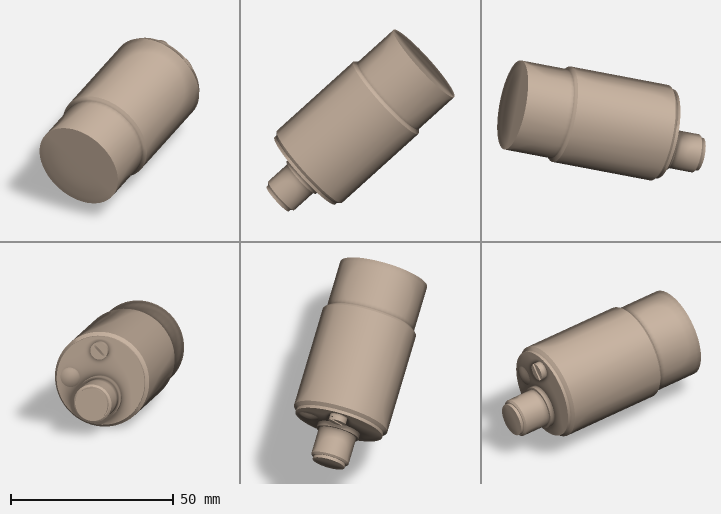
import cadquery as cq

LENGTH = 61.5
BODY_DIAMETER = 30.0
NECK_DIAMETER = 28.0
BODY_CHAMFER = (BODY_DIAMETER - NECK_DIAMETER) / 2
NOSE_LENGTH = 15.0
CAP_THICKNESS = 0.9

CONNECTOR_Z = -5.0
FLANGE_DIAMETER = 13.5
FLANGE_THICKNESS = 1.55
BARREL_DIAMETER = 12.0
BARREL_LENGTH = 9.0
BARREL_CHAMFER = 0.55
TIP_DIAMETER = 10.3
TIP_LENGTH = 1.0

SCREW_Z = 9.85
SCREW_DIAMETER = 5.5
SCREW_HEIGHT = 2.0
SLOT_WIDTH = 1.0
SLOT_DEPTH = 1.0
SLOT_ANGLE = 45.0

DOME_X = 9.65
DOME_Z = 0.5
DOME_RADIUS = 3.1
DOME_HEIGHT = 0.75

FRONT_Y = -LENGTH / 2
TIP_START_Y = LENGTH / 2 - TIP_LENGTH
BARREL_START_Y = TIP_START_Y - BARREL_LENGTH
REAR_FACE_Y = BARREL_START_Y - FLANGE_THICKNESS
BODY_END_Y = REAR_FACE_Y - CAP_THICKNESS
BODY_START_Y = FRONT_Y + NOSE_LENGTH
EMBED = 0.3


def cylinder(diameter, start_y, length, x=0.0, z=0.0):
    """Cylinder along +Y from start_y."""
    base = cq.Workplane("XZ", origin=(x, start_y, z))
    return base.circle(diameter / 2).extrude(-length)


def make_body():
    core = cylinder(NECK_DIAMETER, FRONT_Y, REAR_FACE_Y - FRONT_Y)
    sleeve = cylinder(BODY_DIAMETER, BODY_START_Y, BODY_END_Y - BODY_START_Y)
    return core.union(sleeve.edges().chamfer(BODY_CHAMFER))


def make_connector():
    flange = cylinder(
        FLANGE_DIAMETER, REAR_FACE_Y - EMBED, FLANGE_THICKNESS + EMBED, z=CONNECTOR_Z
    )
    barrel = cylinder(BARREL_DIAMETER, BARREL_START_Y, BARREL_LENGTH, z=CONNECTOR_Z)
    barrel = barrel.faces(">Y").edges().chamfer(BARREL_CHAMFER)
    tip = cylinder(TIP_DIAMETER, TIP_START_Y, TIP_LENGTH, z=CONNECTOR_Z)
    return flange.union(barrel).union(tip)


def make_screw():
    screw = cylinder(SCREW_DIAMETER, REAR_FACE_Y - EMBED, SCREW_HEIGHT + EMBED, z=SCREW_Z)
    slot_length = 2 * SCREW_DIAMETER
    slot_center_y = REAR_FACE_Y + SCREW_HEIGHT - SLOT_DEPTH / 2
    slot = (
        cq.Workplane("XY")
        .box(slot_length, SLOT_DEPTH, SLOT_WIDTH)
        .rotate((0, 0, 0), (0, 1, 0), -SLOT_ANGLE)
        .translate((0, slot_center_y, SCREW_Z))
    )
    return screw.cut(slot)


def make_dome():
    """Cap of a sphere whose rim lies on the rear face."""
    sphere_radius = (DOME_RADIUS**2 + DOME_HEIGHT**2) / (2 * DOME_HEIGHT)
    center_y = REAR_FACE_Y + DOME_HEIGHT - sphere_radius
    sphere = cq.Workplane("XY").sphere(sphere_radius).translate((DOME_X, center_y, DOME_Z))
    keep = cylinder(
        2 * DOME_RADIUS, REAR_FACE_Y - EMBED, DOME_HEIGHT + 2 * EMBED, DOME_X, DOME_Z
    )
    return sphere.intersect(keep)


result = make_body().union(make_connector()).union(make_screw()).union(make_dome())